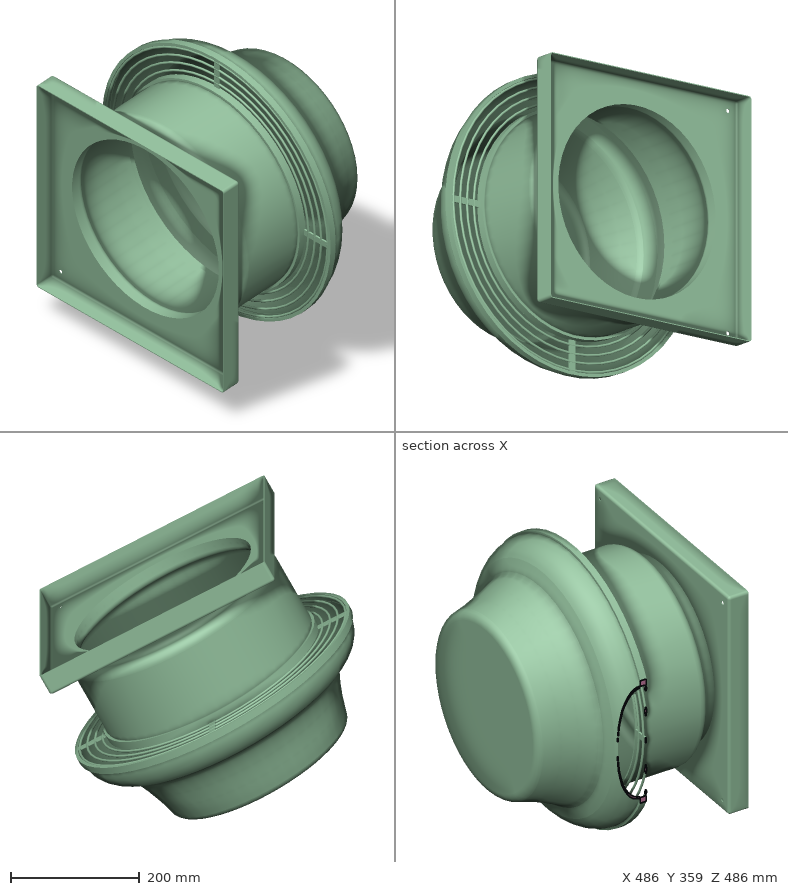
import cadquery as cq
import math


TRAY_SIDE = 398.0
TRAY_DEPTH = 36.5
TRAY_WALL = 1.5
TRAY_CORNER_RADIUS = 5.0
SCREW_HOLE_DIAMETER = 7.0
SCREW_HOLE_PITCH = 360.5

NECK_RADIUS = 157.0
DUCT_WALL = 1.0
NECK_END_Y = 51.5
NECK_BEND_RADIUS = 9.0
DRUM_RADIUS = 182.0
DRUM_BEND_RADIUS = DRUM_RADIUS - NECK_RADIUS - NECK_BEND_RADIUS
DRUM_END_Y = 188.5
COLLAR_RADIUS = 186.5
COLLAR_WALL = 2.5
COLLAR_START_Y = 186.5
COLLAR_END_Y = 199.7

BAND_RADIUS = 243.0
BAND_WALL = 5.5
BAND_START_Y = 197.0
BAND_END_Y = 208.5
OUTER_WIRE_RADIUS = 235.0
WIRE_SPACING = 13.5
WIRE_DIAMETER = 4.0
WIRE_COUNT = 4
SPOKE_WIDTH = 10.5
SPOKE_COUNT = 4

HOOD_END_Y = 359.0
HOOD_WALL = 2.0
DOME_RADIUS = 238.5
DOME_ARC_RADIUS = 50.5
DOME_ARC_ANGLE = 62.0
WAIST_RADIUS = 191.5
WAIST_Y = 261.5
CONE_BASE_RADIUS = 185.5
CONE_BASE_Y = 269.0
CONE_MID_RADIUS = 167.0
CONE_MID_Y = 312.5
CONE_TOP_RADIUS = 156.5
CONE_TOP_Y = 349.5
END_RADIUS = 142.0


def tube(outer, inner, start_y, end_y):
    """Ring about the Y axis with a rectangular section."""
    return (
        cq.Workplane("XY")
        .moveTo(inner, start_y)
        .lineTo(outer, start_y)
        .lineTo(outer, end_y)
        .lineTo(inner, end_y)
        .close()
        .revolve(360, (0, 0, 0), (0, 1, 0))
    )


def make_tray():
    """Square pan open towards -Y, with a duct opening and four screw holes."""
    tray = (
        cq.Workplane("XZ")
        .rect(TRAY_SIDE, TRAY_SIDE)
        .extrude(-TRAY_DEPTH)
        .edges("|Y or >Y")
        .fillet(TRAY_CORNER_RADIUS)
        .faces("<Y")
        .shell(-TRAY_WALL)
    )
    opening = cq.Workplane("XZ").circle(NECK_RADIUS - DUCT_WALL).extrude(-TRAY_DEPTH)
    screw_holes = (
        cq.Workplane("XZ")
        .rect(SCREW_HOLE_PITCH, SCREW_HOLE_PITCH, forConstruction=True)
        .vertices()
        .circle(SCREW_HOLE_DIAMETER / 2)
        .extrude(-TRAY_DEPTH)
    )
    return tray.cut(opening).cut(screw_holes)


def duct_body(inset):
    """Solid of revolution inside the duct surface moved inwards by inset."""
    neck = NECK_RADIUS - inset
    drum = DRUM_RADIUS - inset
    neck_bend = NECK_BEND_RADIUS + inset
    drum_bend = DRUM_BEND_RADIUS - inset
    bend_y = NECK_END_Y + NECK_BEND_RADIUS + inset
    drum_start_y = bend_y + drum_bend
    return (
        cq.Workplane("XY")
        .moveTo(0, TRAY_DEPTH - TRAY_WALL)
        .lineTo(neck, TRAY_DEPTH - TRAY_WALL)
        .lineTo(neck, NECK_END_Y)
        .radiusArc((neck + neck_bend, bend_y), neck_bend)
        .radiusArc((drum, drum_start_y), -drum_bend)
        .lineTo(drum, DRUM_END_Y)
        .lineTo(0, DRUM_END_Y)
        .close()
        .revolve(360, (0, 0, 0), (0, 1, 0))
    )


def make_duct():
    """Thin duct wall whose hood end steps out through a flange into a wider collar."""
    wall = duct_body(0).cut(duct_body(DUCT_WALL))
    flange = tube(COLLAR_RADIUS, DRUM_RADIUS - DUCT_WALL, COLLAR_START_Y, DRUM_END_Y)
    collar = tube(COLLAR_RADIUS, COLLAR_RADIUS - COLLAR_WALL, COLLAR_START_Y, COLLAR_END_Y)
    return wall.union(flange).union(collar)


def make_guard():
    """Outer band with four spokes to the collar and wire rings that run through the spokes."""
    guard = tube(BAND_RADIUS, BAND_RADIUS - BAND_WALL, BAND_START_Y, BAND_END_Y)
    spoke_thickness = COLLAR_END_Y - BAND_START_Y
    spoke_y = (COLLAR_END_Y + BAND_START_Y) / 2
    spoke_inner = COLLAR_RADIUS - COLLAR_WALL / 2
    spoke_outer = BAND_RADIUS - BAND_WALL / 2
    for number in range(SPOKE_COUNT):
        spoke = (
            cq.Workplane("XY")
            .box(spoke_outer - spoke_inner, spoke_thickness, SPOKE_WIDTH)
            .translate(((spoke_outer + spoke_inner) / 2, spoke_y, 0))
            .rotate((0, 0, 0), (0, 1, 0), number * 360 / SPOKE_COUNT)
        )
        guard = guard.union(spoke)
    for number in range(WIRE_COUNT):
        wire_radius = OUTER_WIRE_RADIUS - number * WIRE_SPACING
        wire = (
            cq.Workplane("XY")
            .moveTo(wire_radius, spoke_y)
            .circle(WIRE_DIAMETER / 2)
            .revolve(360, (0, 0, 0), (0, 1, 0))
        )
        guard = guard.union(wire)
    return guard


def dome_point(degrees):
    """Point on the dome arc, measured up from its widest edge."""
    angle = math.radians(degrees)
    radius = DOME_RADIUS - DOME_ARC_RADIUS * (1 - math.cos(angle))
    return (radius, BAND_END_Y + DOME_ARC_RADIUS * math.sin(angle))


def make_hood():
    """Thin hood open towards the guard and closed by a flat end."""
    body = (
        cq.Workplane("XY")
        .moveTo(0, HOOD_END_Y)
        .lineTo(END_RADIUS, HOOD_END_Y)
        .tangentArcPoint((CONE_TOP_RADIUS, CONE_TOP_Y), relative=False)
        .threePointArc((CONE_MID_RADIUS, CONE_MID_Y), (CONE_BASE_RADIUS, CONE_BASE_Y))
        .tangentArcPoint((WAIST_RADIUS, WAIST_Y), relative=False)
        .lineTo(*dome_point(DOME_ARC_ANGLE))
        .threePointArc(dome_point(DOME_ARC_ANGLE / 2), (DOME_RADIUS, BAND_END_Y))
        .lineTo(0, BAND_END_Y)
        .close()
        .revolve(360, (0, 0, 0), (0, 1, 0))
    )
    return body.faces("<Y").shell(-HOOD_WALL)


result = make_tray().union(make_duct()).union(make_guard()).union(make_hood()).clean()